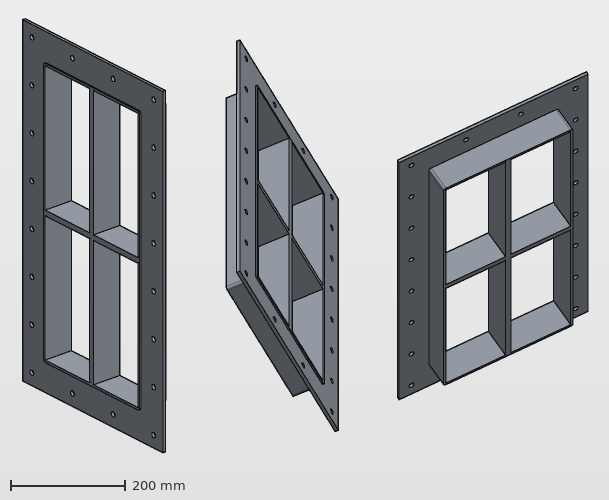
import cadquery as cq

plate_width = 383.0
plate_height = 700
plate_thickness = 6.0

flange_margin = 60.0
tube_width = plate_width - 2 * flange_margin
tube_height = plate_height - 2 * flange_margin
tube_depth = 60.0
wall = 5.0
front_lip = 3.0

divider_thickness = 11.0

hole_diameter = 10.0
hole_margin = 25.0
holes_across = 4
holes_up = 8


def block(width, depth, height, front_y):
    """Box centred on X and Z, reaching back from front_y towards +Y."""
    return cq.Workplane("XY").box(width, depth, height).translate((0, front_y + depth / 2, 0))


def bolt_positions():
    """Evenly spaced (x, z) points along all four sides, each corner once."""
    span_x = plate_width - 2 * hole_margin
    span_z = plate_height - 2 * hole_margin
    points = []
    for column in range(holes_across):
        for row in range(holes_up):
            if column in (0, holes_across - 1) or row in (0, holes_up - 1):
                x = -span_x / 2 + column * span_x / (holes_across - 1)
                z = -span_z / 2 + row * span_z / (holes_up - 1)
                points.append((x, z))
    return points


def make_plate():
    plate = block(plate_width, plate_thickness, plate_height, front_lip)
    bolt_holes = (
        cq.Workplane("XZ")
        .pushPoints(bolt_positions())
        .circle(hole_diameter / 2)
        .extrude(-tube_depth)
    )
    return plate.cut(bolt_holes)


tube_envelope = block(tube_width, tube_depth, tube_height, 0).edges("|Y").fillet(wall)
tube_bore = block(tube_width - 2 * wall, tube_depth, tube_height - 2 * wall, 0)
upright_divider = block(divider_thickness, tube_depth, tube_height - 2 * wall, 0)
level_divider = block(tube_width - 2 * wall, tube_depth, divider_thickness, 0)

openings = tube_bore.cut(upright_divider).cut(level_divider)
result = make_plate().union(tube_envelope).cut(openings)